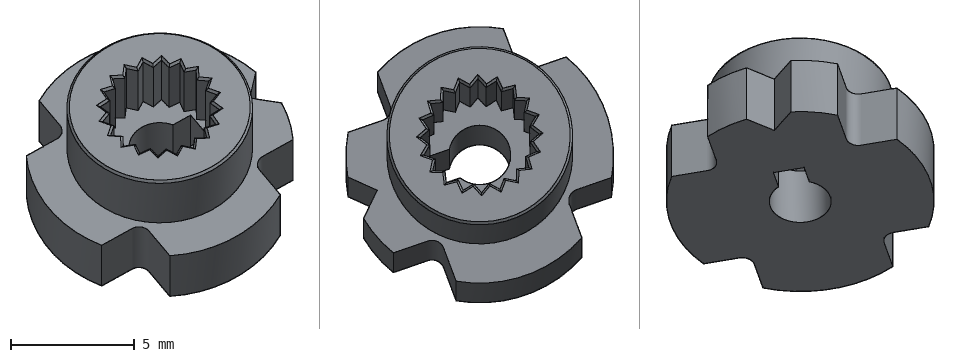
import cadquery as cq
import math

flange_diameter = 10.8
flange_height = 2.8
arm_width = 5.4
arm_corner_radius = 0.5

notch_apex_y = 4.4

total_height = 5.6
boss_height = total_height - flange_height
boss_diameter = 7.5
edge_chamfer = 0.1

tooth_count = 20
groove_diameter = 4.8
crest_diameter = 4.09

bore_diameter = 2.5
key_width = 1.27
key_top_y = 1.94


def polar_point(radius, angle):
    return (radius * math.cos(angle), radius * math.sin(angle))


def make_flange():
    """Cross of two equal arms with rounded inner corners and a common round outline."""
    arm_x = cq.Workplane("XY").rect(flange_diameter, arm_width).extrude(flange_height)
    arm_y = cq.Workplane("XY").rect(arm_width, flange_diameter).extrude(flange_height)
    cross = arm_x.union(arm_y)
    corner_span = arm_width + arm_corner_radius
    inner_corners = cq.selectors.BoxSelector(
        (-corner_span / 2, -corner_span / 2, 0),
        (corner_span / 2, corner_span / 2, flange_height),
    )
    cross = cross.edges("|Z").edges(inner_corners).fillet(arm_corner_radius)
    disc = cq.Workplane("XY").circle(flange_diameter / 2).extrude(flange_height)
    return cross.intersect(disc)


def make_notch():
    """Wedge with its apex toward the axis and its sides at 45 degrees."""
    rim_y = flange_diameter / 2
    half_width = rim_y - notch_apex_y
    outline = [(0, notch_apex_y), (half_width, rim_y), (-half_width, rim_y)]
    return cq.Workplane("XY").polyline(outline).close().extrude(flange_height)


def make_boss():
    boss = cq.Workplane("XY").circle(boss_diameter / 2).extrude(total_height)
    return boss.faces(">Z").edges().chamfer(edge_chamfer)


def make_serration():
    """Star-shaped pocket with alternating groove and crest points."""
    half_pitch = math.pi / tooth_count
    outline = []
    for tooth in range(tooth_count):
        groove_angle = 2 * tooth * half_pitch
        outline.append(polar_point(groove_diameter / 2, groove_angle))
        outline.append(polar_point(crest_diameter / 2, groove_angle + half_pitch))
    return (
        cq.Workplane("XY")
        .workplane(offset=flange_height)
        .polyline(outline)
        .close()
        .extrude(boss_height)
    )


def make_keyed_bore():
    bore = cq.Workplane("XY").circle(bore_diameter / 2).extrude(flange_height)
    key = (
        cq.Workplane("XY")
        .center(0, key_top_y / 2)
        .rect(key_width, key_top_y)
        .extrude(flange_height)
    )
    return bore.union(key)


body = make_flange().cut(make_notch()).union(make_boss())
body = body.cut(make_serration())

body = body.faces(">Z").edges("%LINE").chamfer(edge_chamfer)

result = body.cut(make_keyed_bore())